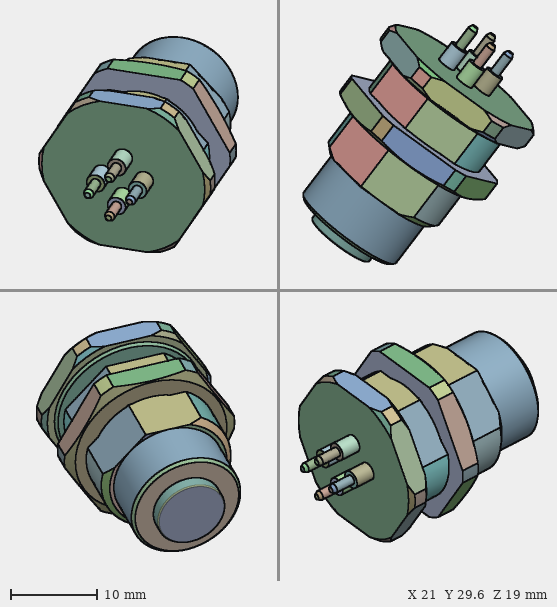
import cadquery as cq
import math

total_length = 29.65
pin_tip_length = 0.47
sleeve_end = 3.05
flange_back = 5.57
flange_thickness = 2.73
seal_height = 0.33
nut_back = 13.28
nut_thickness = 2.85
body_front = 21.95
neck_front = 28.17

hex_across_flats = 19.0
flange_corner_diameter = 20.9
flange_chamfer = 0.53
seal_diameter = 18.1
nut_corner_diameter = 21.0
nut_chamfer_diameter = 18.68
nut_chamfer_height = 0.53
nut_bore_diameter = 14.35

body_diameter = 16.0
body_chamfer = 0.77
body_flat_angles = (45, 90, 225, 270)
neck_diameter = 13.5
neck_chamfer = 0.35
boss_diameter = 8.3
boss_rounding = 0.15

pin_diameter = 1.2
pin_tip_diameter = 0.7
sleeve_diameter = 2.2
contact_offset = 2.55
contact_count = 4


def turned(profile):
    """Revolve (radius, y) points about the Y axis."""
    return cq.Workplane("XY").polyline(profile).close().revolve(360, (0, 0), (0, 1))


def cylinder(diameter, back, front):
    radius = diameter / 2
    return turned([(0, back), (radius, back), (radius, front), (0, front)])


def front_chamfered_cylinder(diameter, back, front, chamfer):
    radius = diameter / 2
    return turned([
        (0, back),
        (radius, back),
        (radius, front - chamfer),
        (radius - chamfer, front),
        (0, front),
    ])


def hex_prism(back, thickness):
    """Hexagon with corners on +X and -X, extruded towards +Y."""
    corner_to_corner = hex_across_flats / math.cos(math.pi / 6)
    prism = cq.Workplane("XZ").polygon(6, corner_to_corner).extrude(-thickness)
    return prism.translate((0, back, 0))


def make_flange():
    radius = flange_corner_diameter / 2
    front = flange_back + flange_thickness
    blank = turned([
        (0, flange_back),
        (radius - flange_chamfer, flange_back),
        (radius, flange_back + flange_chamfer),
        (radius, front - flange_chamfer),
        (radius - flange_chamfer, front),
        (0, front),
    ])
    flange = hex_prism(flange_back, flange_thickness).intersect(blank)
    seal_front = front + seal_height
    seal = front_chamfered_cylinder(seal_diameter, flange_back, seal_front, seal_height)
    return flange.union(seal)


def make_nut():
    radius = nut_corner_diameter / 2
    front = nut_back + nut_thickness
    blank = turned([
        (0, nut_back),
        (radius, nut_back),
        (radius, front - nut_chamfer_height),
        (nut_chamfer_diameter / 2, front),
        (0, front),
    ])
    nut = hex_prism(nut_back, nut_thickness).intersect(blank)
    return nut.cut(cylinder(nut_bore_diameter, nut_back, front))


def make_body():
    body = front_chamfered_cylinder(body_diameter, flange_back, body_front, body_chamfer)
    for angle in body_flat_angles:
        cutter = cq.Workplane("XY").box(
            body_diameter, total_length, body_diameter, centered=(False, False, True)
        )
        cutter = cutter.translate((neck_diameter / 2, 0, 0))
        body = body.cut(cutter.rotate((0, 0, 0), (0, 1, 0), -angle))
    neck = front_chamfered_cylinder(neck_diameter, flange_back, neck_front, neck_chamfer)
    boss = cylinder(boss_diameter, flange_back, total_length).faces(">Y").edges().fillet(boss_rounding)
    return body.union(neck).union(boss)


def make_contact():
    radius = pin_diameter / 2
    inner_end = flange_back + flange_thickness
    pin = turned([
        (0, 0),
        (pin_tip_diameter / 2, 0),
        (radius, pin_tip_length),
        (radius, inner_end),
        (0, inner_end),
    ])
    return pin.union(cylinder(sleeve_diameter, sleeve_end, inner_end))


result = make_body().union(make_flange()).union(make_nut())
for index in range(contact_count):
    contact = make_contact().translate((contact_offset, 0, 0))
    result = result.union(contact.rotate((0, 0, 0), (0, 1, 0), index * 360 / contact_count))